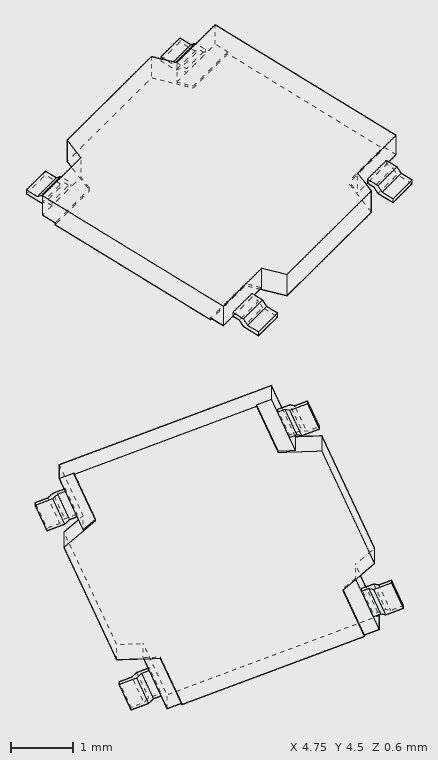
import cadquery as cq

span_x = 4.75
body_size = 4.5
total_height = 0.6

neck_width = 3.7
wing_flat = 2.2
wing_root = 2.5

lead_thickness = 0.1
lead_width = 0.5
lead_spacing_y = 3.5
foot_top_length = 0.225
foot_bottom_length = 0.31
bend_run = 0.085

standoff = lead_thickness / 2
shank_bottom = lead_thickness
shank_top = shank_bottom + lead_thickness

relief_inner_x = 1.59

half_size = body_size / 2
half_neck = neck_width / 2
half_span = span_x / 2
wing_slope = (wing_root - wing_flat) / (body_size - neck_width)

SIDES = (-1, 1)


def wing_edge_y(x):
    """Distance from the X axis to the sloping wing edge, extended inward, at distance x from the Y axis."""
    return wing_flat / 2 + (half_size - x) * wing_slope


def make_housing_block():
    """Flat block with a notch at each corner, leaving a tapered wing on each side."""
    quarter = [
        (half_size, wing_flat / 2),
        (half_neck, wing_root / 2),
        (half_neck, half_size),
    ]
    upper = quarter + [(-x, y) for x, y in reversed(quarter)]
    lower = [(-x, -y) for x, y in upper]
    return (
        cq.Workplane("XY")
        .workplane(offset=standoff)
        .polyline(upper + lower)
        .close()
        .extrude(total_height - standoff)
    )


def make_corner_relief(side_x, side_y):
    """Shallow cutter under one corner; one wall carries on the line of the sloping wing edge."""
    corners = [
        (half_neck, wing_edge_y(half_neck)),
        (relief_inner_x, wing_edge_y(relief_inner_x)),
        (relief_inner_x, half_size),
        (half_neck, half_size),
    ]
    return (
        cq.Workplane("XY")
        .workplane(offset=standoff)
        .polyline([(side_x * x, side_y * y) for x, y in corners])
        .close()
        .extrude(shank_bottom - standoff)
    )


def make_housing():
    housing = make_housing_block()
    for side_x in SIDES:
        for side_y in SIDES:
            housing = housing.cut(make_corner_relief(side_x, side_y))
    return housing


def make_lead(side_x, side_y):
    """Stepped lead: its shank meets the housing wall and its foot lies below the housing."""
    foot_top_end = half_span - foot_top_length
    foot_bottom_end = half_span - foot_bottom_length
    profile = [
        (half_neck, shank_bottom),
        (foot_bottom_end - bend_run, shank_bottom),
        (foot_bottom_end, 0),
        (half_span, 0),
        (half_span, lead_thickness),
        (foot_top_end, lead_thickness),
        (foot_top_end - bend_run, shank_top),
        (half_neck, shank_top),
    ]
    return (
        cq.Workplane("XZ", origin=(0, side_y * lead_spacing_y / 2, 0))
        .polyline([(side_x * x, z) for x, z in profile])
        .close()
        .extrude(lead_width / 2, both=True)
    )


housing = make_housing()
leads = [make_lead(side_x, side_y) for side_x in SIDES for side_y in SIDES]

result = cq.Compound.makeCompound([housing.val(), *[lead.val() for lead in leads]])